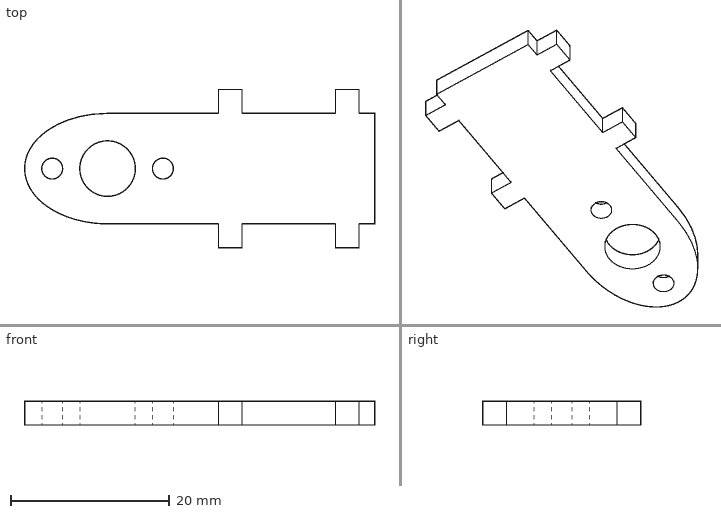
import cadquery as cq

length = 44.3
thickness = 3.0
width_over_tabs = 20.0
tab_size = 3.0
body_width = width_over_tabs - 2 * tab_size
nose_length = 10.5

tab_pitch = 14.8
rear_margin = 2.0

main_hole_diameter = 7.0
small_hole_diameter = 2.6
hole_pitch = 7.0

square_end_x = length - nose_length
half_width = body_width / 2
rear_tab_x = square_end_x - rear_margin - tab_size / 2
tab_centers_x = [rear_tab_x - tab_pitch, rear_tab_x]


def make_body():
    """Flat plate with a half-elliptical nose and a square end."""
    nose = cq.Workplane("XY").ellipse(nose_length, half_width).extrude(thickness)
    straight = cq.Workplane("XY").box(
        square_end_x, body_width, thickness, centered=(False, True, False)
    )
    return straight.union(nose)


def make_tabs():
    """Bars across the plate whose ends stand out as tabs on both sides."""
    return (
        cq.Workplane("XY")
        .pushPoints([(x, 0) for x in tab_centers_x])
        .rect(tab_size, width_over_tabs)
        .extrude(thickness)
    )


def make_holes():
    """Main through hole with a small one on either side along X."""
    main_hole = cq.Workplane("XY").circle(main_hole_diameter / 2).extrude(thickness)
    small_holes = (
        cq.Workplane("XY")
        .pushPoints([(-hole_pitch, 0), (hole_pitch, 0)])
        .circle(small_hole_diameter / 2)
        .extrude(thickness)
    )
    return main_hole.union(small_holes)


result = make_body().union(make_tabs()).cut(make_holes()).clean()